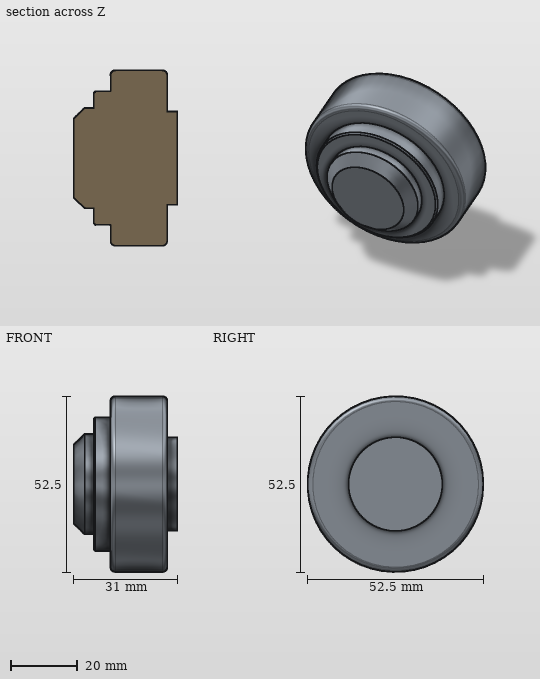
import cadquery as cq

roller_diameter = 52.5
collar_diameter = 40.0
nose_diameter = 30.0
nose_tip_diameter = 23.6
hub_diameter = 28.0

nose_length = 6.0
nose_taper_length = 3.25
collar_length = 5.0
roller_width = 17.0
hub_length = 3.0

roller_edge_radius = 1.5
collar_chamfer = 0.5

collar_start = nose_length
roller_start = collar_start + collar_length
hub_start = roller_start + roller_width


def disc(start, diameter, length):
    """Solid cylinder along +X beginning at the given X position."""
    return cq.Workplane("YZ", origin=(start, 0, 0)).circle(diameter / 2).extrude(length)


def tapered_nose():
    """Cylindrical nose with a conical lead-in toward the flat tip."""
    profile = (
        cq.Workplane("XY")
        .lineTo(0, nose_tip_diameter / 2)
        .lineTo(nose_taper_length, nose_diameter / 2)
        .lineTo(nose_length, nose_diameter / 2)
        .lineTo(nose_length, 0)
        .close()
    )
    return profile.revolve(360, (0, 0, 0), (1, 0, 0))


collar = disc(collar_start, collar_diameter, collar_length).faces("<X").chamfer(collar_chamfer)
roller = disc(roller_start, roller_diameter, roller_width).edges("%CIRCLE").fillet(roller_edge_radius)
hub = disc(hub_start, hub_diameter, hub_length)

result = tapered_nose().union(collar).union(roller).union(hub)